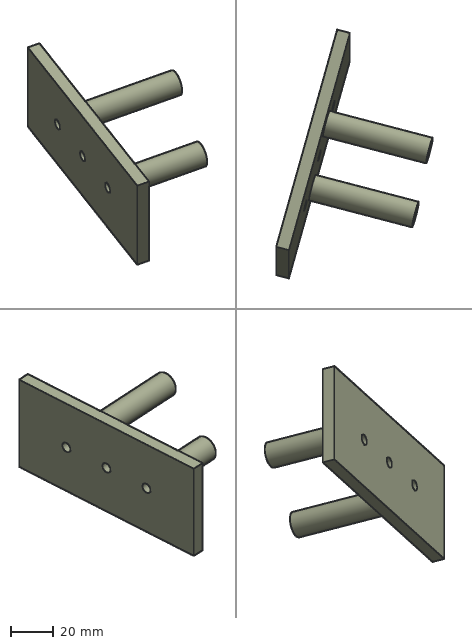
import cadquery as cq

plate_length = 111.1
plate_height = 50.8
plate_thickness = 6.3

hole_diameter = 5.1
hole_pitch = 25.5
hole_count = 3

rod_diameter = 12.7
rod_length = 50.8
rod_offset = hole_pitch / 2
rod_centres = [(-rod_offset, rod_offset), (rod_offset, -rod_offset)]


def along_y(diameter, x, z, y_start, length):
    """Cylinder parallel to Y, running from y_start towards the back."""
    cylinder = cq.Solid.makeCylinder(
        diameter / 2, length, cq.Vector(x, y_start, z), cq.Vector(0, 1, 0)
    )
    return cq.Workplane(cylinder)


result = cq.Workplane().box(
    plate_length, plate_thickness, plate_height, centered=(True, False, True)
)

for index in range(hole_count):
    hole_x = (index - (hole_count - 1) / 2) * hole_pitch
    result = result.cut(along_y(hole_diameter, hole_x, 0, 0, plate_thickness))

for rod_x, rod_z in rod_centres:
    result = result.union(along_y(rod_diameter, rod_x, rod_z, plate_thickness, rod_length))